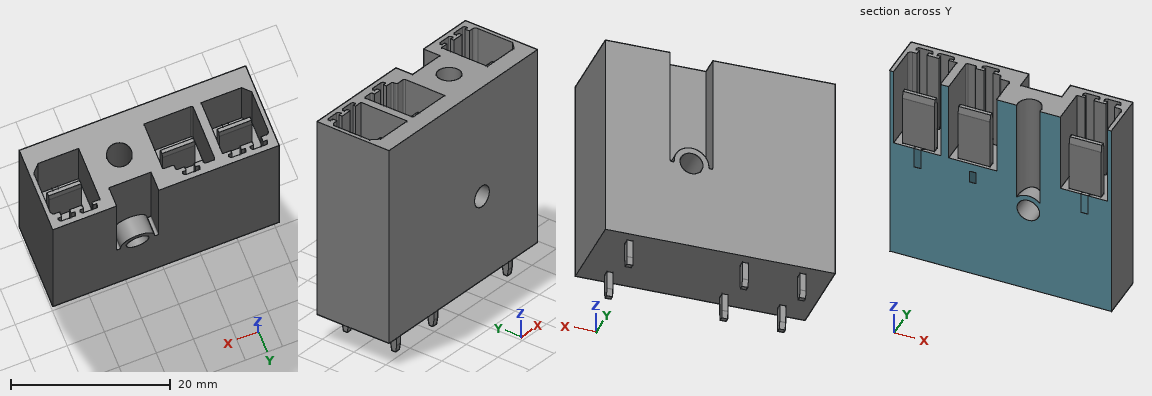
import cadquery as cq


LENGTH = 30.45
DEPTH = 11.4
TOTAL_HEIGHT = 31.8
PIN_LENGTH = 3.5
HEIGHT = TOTAL_HEIGHT - PIN_LENGTH

GRID = 7.63
SIDE_X = 1.5 * GRID
MIDDLE_X = -GRID / 2
SCREW_X = GRID / 2

POCKET_DEPTH = 11.13
FLOOR_Z = HEIGHT - POCKET_DEPTH
POCKET_FRONT = -3.18
LAND_Y = 3.98
POCKET_ROUND = 0.25
SIDE_ROUND = 0.48

SIDE_HALF_WIDTH = 3.2
SIDE_OUTER_Y = 3.8
SIDE_INNER_Y = 4.1
SIDE_CHAMFER = 1.0
SIDE_SLOT_OFFSET = 1.45

MIDDLE_HALF_WIDTH = 3.28
MIDDLE_LEFT_Y = 4.48
MIDDLE_LEFT_STEP = 1.8
MIDDLE_RIGHT_Y = 3.25
MIDDLE_RIGHT_STEP = 1.78
MIDDLE_FRONT_ROUND = 0.25

SLOT_HEAD_WIDTH = 2.25
SLOT_NECK_WIDTH = 1.27
SLOT_HEAD_BACK = 5.0
SLOT_HEAD_FRONT = 4.48
SLOT_ROUND = 0.32

CROSS_HOLE_Z = 12.3
CROSS_HOLE_DIAMETER = 3.02
SLEEVE_DIAMETER = 4.58
NOTCH_WIDTH = 5.65
NOTCH_DEPTH = 2.6
ACCESS_DIAMETER = 3.2
ACCESS_Y = -0.5

SHEET = 0.8
BLADE_WIDTH = 4.4
BLADE_THICKNESS = 0.85
BLADE_TIP_Z = HEIGHT - 3.18
BLADE_BEVEL = 0.2
BLADE_BEVEL_HEIGHT = 0.95
PIN_WIDTH = 0.95
PIN_TIP_WIDTH = 0.6
PIN_TAPER = 1.02
ARM_BOTTOM_Z = FLOOR_Z - 2.85
LOW_ARM_Z = FLOOR_Z - 1.27
LEG_FILLET = 0.8


def block(x0, x1, y0, y1, z0, z1):
    """Box given by its limits along each axis."""
    return cq.Workplane("XY").box(x1 - x0, y1 - y0, z1 - z0, centered=False).translate((x0, y0, z0))


def pocket_prism(outline):
    """Extrude a closed outline from the pocket floor to the top of the housing."""
    return cq.Workplane("XY", origin=(0, 0, FLOOR_Z)).polyline(outline).close().extrude(POCKET_DEPTH)


def rounded_edge(prism, x, y, radius):
    """Round the vertical edge of the prism that passes through (x, y)."""
    edge = cq.selectors.NearestToPointSelector((x, y, FLOOR_Z + POCKET_DEPTH / 2))
    return prism.edges("|Z").edges(edge).fillet(radius)


def t_slot(x):
    """T-shaped slot with a rounded head, centred at x."""
    neck_half = SLOT_NECK_WIDTH / 2
    head_half = SLOT_HEAD_WIDTH / 2
    neck = block(x - neck_half, x + neck_half, 0, SLOT_HEAD_BACK, FLOOR_Z, HEIGHT)
    head = block(x - head_half, x + head_half, SLOT_HEAD_FRONT, SLOT_HEAD_BACK, FLOOR_Z, HEIGHT)
    head = head.edges("|Z and >Y").fillet(SLOT_ROUND)
    return neck.union(head)


def left_pocket():
    """Pocket at the -X end: chamfered front corner, stepped back wall, two T slots."""
    outer = -SIDE_X - SIDE_HALF_WIDTH
    inner = -SIDE_X + SIDE_HALF_WIDTH
    step_outer = -SIDE_X - SIDE_SLOT_OFFSET
    step_inner = -SIDE_X + SIDE_SLOT_OFFSET
    pocket = pocket_prism([
        (outer, POCKET_FRONT + SIDE_CHAMFER),
        (outer + SIDE_CHAMFER, POCKET_FRONT),
        (inner, POCKET_FRONT),
        (inner, SIDE_INNER_Y),
        (step_inner, SIDE_INNER_Y),
        (step_inner, LAND_Y),
        (step_outer, LAND_Y),
        (step_outer, SIDE_OUTER_Y),
        (outer, SIDE_OUTER_Y),
    ])
    pocket = rounded_edge(pocket, outer, SIDE_OUTER_Y, SIDE_ROUND)
    return pocket.union(t_slot(step_outer)).union(t_slot(step_inner))


def middle_pocket():
    """Pocket with a deeper left corner, a shallower right corner and one T slot."""
    left = MIDDLE_X - MIDDLE_HALF_WIDTH
    right = MIDDLE_X + MIDDLE_HALF_WIDTH
    left_step = MIDDLE_X - MIDDLE_LEFT_STEP
    right_step = MIDDLE_X + MIDDLE_RIGHT_STEP
    pocket = pocket_prism([
        (left, POCKET_FRONT),
        (right, POCKET_FRONT),
        (right, MIDDLE_RIGHT_Y),
        (right_step, MIDDLE_RIGHT_Y),
        (right_step, LAND_Y),
        (left_step, LAND_Y),
        (left_step, MIDDLE_LEFT_Y),
        (left, MIDDLE_LEFT_Y),
    ])
    rounded_corners = [
        (left, MIDDLE_LEFT_Y),
        (left_step, MIDDLE_LEFT_Y),
        (right_step, LAND_Y),
        (right_step, MIDDLE_RIGHT_Y),
        (right, MIDDLE_RIGHT_Y),
    ]
    for x, y in rounded_corners:
        pocket = rounded_edge(pocket, x, y, POCKET_ROUND)
    pocket = rounded_edge(pocket, left, POCKET_FRONT, MIDDLE_FRONT_ROUND)
    return pocket.union(t_slot(MIDDLE_X))


def screw_mount():
    """Cross hole in a round sleeve, with a rear notch and a top hole that both end on the sleeve.

    The notch floor is a round-bottomed trough on each side of the sleeve.
    """
    back = DEPTH / 2
    rear_plane = cq.Workplane("XZ", origin=(SCREW_X, back, CROSS_HOLE_Z))
    cross_hole = rear_plane.circle(CROSS_HOLE_DIAMETER / 2).extrude(DEPTH)
    sleeve = rear_plane.circle(SLEEVE_DIAMETER / 2).extrude(DEPTH)
    notch_half = NOTCH_WIDTH / 2
    notch = block(SCREW_X - notch_half, SCREW_X + notch_half, back - NOTCH_DEPTH, back, CROSS_HOLE_Z, HEIGHT)
    trough_diameter = (NOTCH_WIDTH - SLEEVE_DIAMETER) / 2
    trough_x = (SLEEVE_DIAMETER + trough_diameter) / 2
    troughs = rear_plane.pushPoints([(-trough_x, 0), (trough_x, 0)]).circle(trough_diameter / 2)
    notch = notch.union(troughs.extrude(NOTCH_DEPTH))
    access = (
        cq.Workplane("XY", origin=(SCREW_X, ACCESS_Y, CROSS_HOLE_Z))
        .circle(ACCESS_DIAMETER / 2)
        .extrude(HEIGHT - CROSS_HOLE_Z)
    )
    return notch.union(access).cut(sleeve).union(cross_hole)


def blade(x):
    """Upright blade with a bevelled tip on its front and back faces."""
    half = BLADE_THICKNESS / 2
    tip_half = half - BLADE_BEVEL
    shoulder_z = BLADE_TIP_Z - BLADE_BEVEL_HEIGHT
    return (
        cq.Workplane("YZ", origin=(x, 0, 0))
        .polyline([
            (-half, ARM_BOTTOM_Z),
            (half, ARM_BOTTOM_Z),
            (half, shoulder_z),
            (tip_half, BLADE_TIP_Z),
            (-tip_half, BLADE_TIP_Z),
            (-half, shoulder_z),
        ])
        .close()
        .extrude(BLADE_WIDTH / 2, both=True)
    )


def arm_with_pin(x, side, top_z):
    """Arm from the blade to the front (side = -1) or back (side = 1), ending in a tapered pin."""
    centre = GRID / 2
    outer = centre + PIN_WIDTH / 2
    inner = centre - PIN_WIDTH / 2
    tip_outer = centre + PIN_TIP_WIDTH / 2
    tip_inner = centre - PIN_TIP_WIDTH / 2
    taper_z = PIN_TAPER - PIN_LENGTH
    outline = [
        (0, top_z),
        (outer, top_z),
        (outer, taper_z),
        (tip_outer, -PIN_LENGTH),
        (tip_inner, -PIN_LENGTH),
        (inner, taper_z),
        (inner, ARM_BOTTOM_Z),
        (0, ARM_BOTTOM_Z),
    ]
    return (
        cq.Workplane("YZ", origin=(x, 0, 0))
        .polyline([(side * y, z) for y, z in outline])
        .close()
        .extrude(SHEET / 2, both=True)
    )


def leg_fillet(x):
    """Concave fillet between the +X side of the front arm and the front of the blade."""
    corner_x = x + SHEET / 2
    corner_y = -BLADE_THICKNESS / 2
    gusset = block(corner_x, corner_x + LEG_FILLET, corner_y - LEG_FILLET, corner_y, ARM_BOTTOM_Z, FLOOR_Z)
    hollow = (
        cq.Workplane("XY", origin=(corner_x + LEG_FILLET, corner_y - LEG_FILLET, ARM_BOTTOM_Z))
        .circle(LEG_FILLET)
        .extrude(FLOOR_Z - ARM_BOTTOM_Z)
    )
    return gusset.cut(hollow)


def terminal(x, front_arm_flush):
    """Blade on two pins; a flush front arm comes up level with the pocket floor."""
    front_arm_z = FLOOR_Z if front_arm_flush else LOW_ARM_Z
    body = blade(x).union(arm_with_pin(x, -1, front_arm_z)).union(arm_with_pin(x, 1, LOW_ARM_Z))
    if front_arm_flush:
        body = body.union(leg_fillet(x))
    return body


def make_housing(embedded):
    """Housing block with its pockets, screw mount and a close-fitting seat for each terminal."""
    body = block(-LENGTH / 2, LENGTH / 2, -DEPTH / 2, DEPTH / 2, 0, HEIGHT)
    pocket = left_pocket()
    for cavity in (pocket, pocket.mirror("YZ"), middle_pocket(), screw_mount()):
        body = body.cut(cavity)
    for part in embedded:
        body = body.cut(part)
    return body


terminals = [
    terminal(x, front_arm_flush)
    for x, front_arm_flush in ((-SIDE_X, True), (MIDDLE_X, False), (SIDE_X, True))
]
housing = make_housing(terminals)

result = cq.Compound.makeCompound([housing.val(), *(part.val() for part in terminals)])